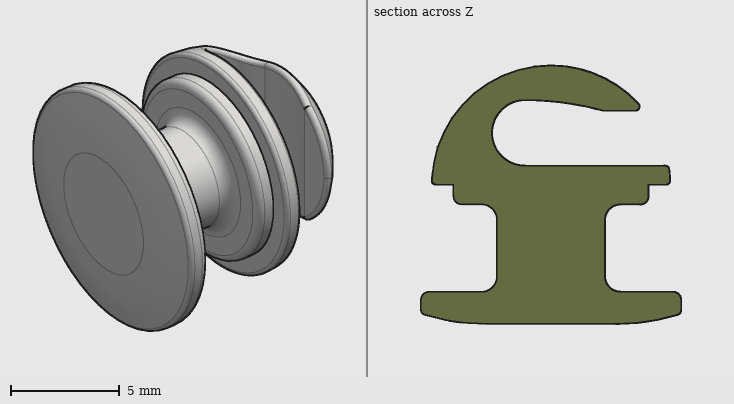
import cadquery as cq
import math

base_radius = 6.0
base_height = 1.5
base_round = 0.4
crown_flat_radius = 3.0
crown_edge_radius = 5.82
crown_depth = 0.42
rim_start = 0.67

neck_radius = 2.5
neck_round = 0.7
collar_radius = 4.5
collar_bottom = 5.5
collar_round = 0.4

dome_radius = 5.5
overall_length = 11.9
dome_bottom = overall_length - dome_radius
hook_edge_round = 0.2

slot_end_x = -1.2
slot_radius = 1.5
slot_floor = 7.3
lip_start_x = 2.41
lip_height = 9.8

diagonal = math.sqrt(0.5)
corner = 1 - diagonal


def crown_mid_point():
    """Point halfway along the crown arc, which is tangent to the flat centre."""
    run = crown_edge_radius - crown_flat_radius
    arc_radius = (run**2 + crown_depth**2) / (2 * crown_depth)
    half_angle = math.asin(run / arc_radius) / 2
    radius = crown_flat_radius + arc_radius * math.sin(half_angle)
    height = arc_radius * (1 - math.cos(half_angle))
    return radius, height


def make_stud():
    """Base, neck and collar, turned about the Y axis."""
    neck_bottom = base_height + neck_round
    neck_top = collar_bottom - neck_round
    neck_flare_radius = neck_radius + neck_round
    neck_mid_radius = neck_radius + neck_round * corner
    neck_mid_inset = neck_round * corner
    return (
        cq.Workplane("XY")
        .lineTo(crown_flat_radius, 0)
        .threePointArc(crown_mid_point(), (crown_edge_radius, crown_depth))
        .tangentArcPoint((base_radius, rim_start), relative=False)
        .lineTo(base_radius, base_height - base_round)
        .threePointArc(
            (base_radius - base_round * corner, base_height - base_round * corner),
            (base_radius - base_round, base_height),
        )
        .lineTo(neck_flare_radius, base_height)
        .threePointArc((neck_mid_radius, base_height + neck_mid_inset), (neck_radius, neck_bottom))
        .lineTo(neck_radius, neck_top)
        .threePointArc((neck_mid_radius, collar_bottom - neck_mid_inset), (neck_flare_radius, collar_bottom))
        .lineTo(collar_radius - collar_round, collar_bottom)
        .threePointArc(
            (collar_radius - collar_round * corner, collar_bottom + collar_round * corner),
            (collar_radius, collar_bottom + collar_round),
        )
        .lineTo(collar_radius, dome_bottom)
        .lineTo(0, dome_bottom)
        .close()
        .revolve(360, (0, 0, 0), (0, 1, 0))
    )


def make_dome():
    """Hemisphere with its flat side on the collar."""
    return (
        cq.Workplane("XY")
        .moveTo(0, dome_bottom)
        .lineTo(dome_radius, dome_bottom)
        .threePointArc(
            (dome_radius * diagonal, dome_bottom + dome_radius * diagonal),
            (0, dome_bottom + dome_radius),
        )
        .close()
        .revolve(360, (0, 0, 0), (0, 1, 0))
    )


def make_slot():
    """Slot with a round closed end and a roof that curves down to a flat lip."""
    slot_top = slot_floor + 2 * slot_radius
    slot_middle = slot_floor + slot_radius
    return (
        cq.Workplane("XY")
        .moveTo(base_radius, slot_floor)
        .lineTo(slot_end_x, slot_floor)
        .threePointArc((slot_end_x - slot_radius, slot_middle), (slot_end_x, slot_top))
        .tangentArcPoint((lip_start_x, lip_height), relative=False)
        .lineTo(base_radius, lip_height)
        .close()
        .extrude(base_radius, both=True)
    )


hook = make_dome().cut(make_slot())
hook = hook.faces("%SPHERE").edges().fillet(hook_edge_round)

result = make_stud().union(hook)